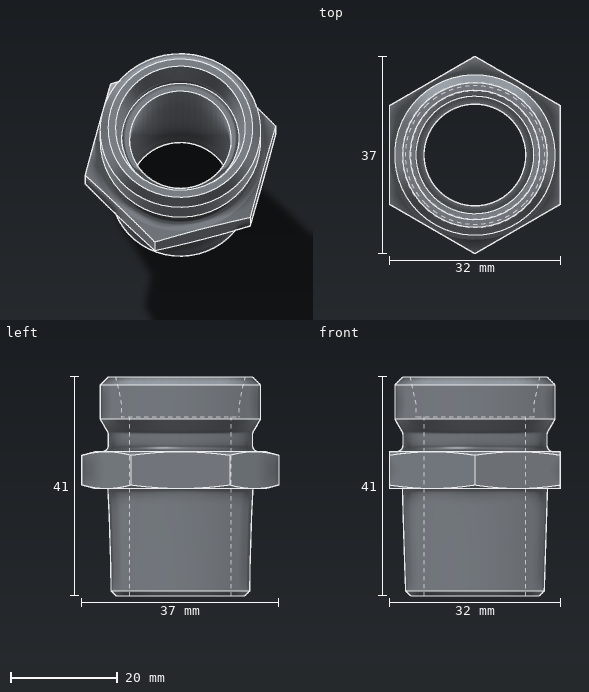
import cadquery as cq
import math

total_height = 41.0
through_bore_d = 19.0

hex_flats = 32.0
hex_bottom = 20.1
hex_top = 27.0
hex_face_d = 31.8
hex_chamfer_angle = 15.0

gauge_d = 26.5
gauge_height = 8.77
taper_on_diameter = 1 / 16
stub_chamfer = 1.0

head_d = 30.0
neck_d = 27.0
head_bottom = 33.1
head_chamfer = (head_d - neck_d) / 2
undercut_angle = 30.0
neck_fillet = 1.2

socket_d = 22.0
socket_depth = 7.5
mouth_d = 24.25
cone_half_angle = 12.0


def tan_deg(angle):
    return math.tan(math.radians(angle))


def stub_radius(z):
    return (gauge_d + (z - gauge_height) * taper_on_diameter) / 2


def make_stub():
    """Tapered stub with a chamfered end."""
    return (
        cq.Workplane("XZ")
        .lineTo(stub_radius(stub_chamfer) - stub_chamfer, 0)
        .lineTo(stub_radius(stub_chamfer), stub_chamfer)
        .lineTo(stub_radius(hex_bottom), hex_bottom)
        .lineTo(0, hex_bottom)
        .close()
        .revolve(360, (0, 0, 0), (0, 1, 0))
    )


def make_collar():
    """Hexagon with corners on the Y axis, its corners turned off on both ends."""
    corner_d = hex_flats / math.cos(math.radians(30))
    face_r = hex_face_d / 2
    corner_drop = (corner_d / 2 - face_r) * tan_deg(hex_chamfer_angle)
    hexagon = (
        cq.Workplane("XY")
        .workplane(offset=hex_bottom)
        .polygon(6, corner_d)
        .extrude(hex_top - hex_bottom)
        .rotate((0, 0, 0), (0, 0, 1), 30)
    )
    turned_envelope = (
        cq.Workplane("XZ")
        .moveTo(0, hex_bottom)
        .lineTo(face_r, hex_bottom)
        .lineTo(corner_d / 2, hex_bottom + corner_drop)
        .lineTo(corner_d / 2, hex_top - corner_drop)
        .lineTo(face_r, hex_top)
        .lineTo(0, hex_top)
        .close()
        .revolve(360, (0, 0, 0), (0, 1, 0))
    )
    return hexagon.intersect(turned_envelope)


def make_head():
    """Cylindrical upper end with its undercut and filleted neck."""
    head_r = head_d / 2
    neck_r = neck_d / 2
    cone_foot = head_bottom - (head_r - neck_r) / tan_deg(undercut_angle)
    tangent_length = neck_fillet * tan_deg(undercut_angle / 2)
    arc_top_r = neck_r + tangent_length * math.sin(math.radians(undercut_angle))
    arc_top = cone_foot + tangent_length * math.cos(math.radians(undercut_angle))
    return (
        cq.Workplane("XZ")
        .moveTo(0, hex_top)
        .lineTo(neck_r + neck_fillet, hex_top)
        .radiusArc((neck_r, hex_top + neck_fillet), neck_fillet)
        .lineTo(neck_r, cone_foot - tangent_length)
        .radiusArc((arc_top_r, arc_top), neck_fillet)
        .lineTo(head_r, head_bottom)
        .lineTo(head_r, total_height - head_chamfer)
        .lineTo(head_r - head_chamfer, total_height)
        .lineTo(0, total_height)
        .close()
        .revolve(360, (0, 0, 0), (0, 1, 0))
    )


def make_cavity():
    """Through bore, straight seat and conical mouth as one cutter."""
    bore_r = through_bore_d / 2
    socket_r = socket_d / 2
    seat = total_height - socket_depth
    cone_depth = (mouth_d - socket_d) / 2 / tan_deg(cone_half_angle)
    return (
        cq.Workplane("XZ")
        .lineTo(bore_r, 0)
        .lineTo(bore_r, seat)
        .lineTo(socket_r, seat)
        .lineTo(socket_r, total_height - cone_depth)
        .lineTo(mouth_d / 2, total_height)
        .lineTo(0, total_height)
        .close()
        .revolve(360, (0, 0, 0), (0, 1, 0))
    )


result = make_stub().union(make_collar()).union(make_head()).cut(make_cavity())